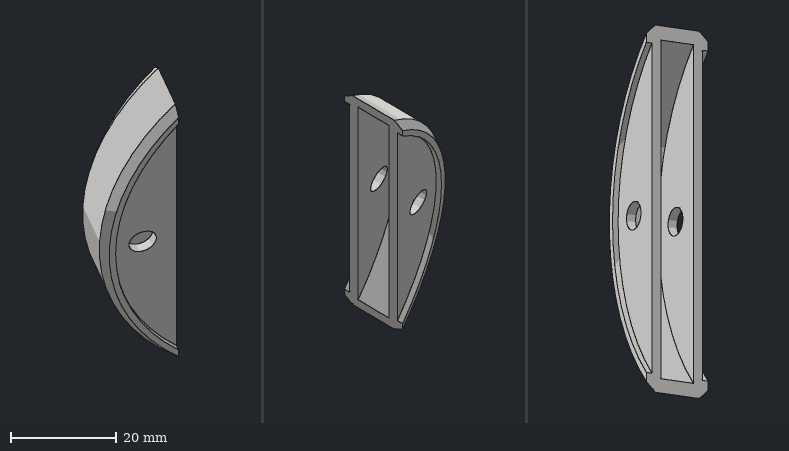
import cadquery as cq
import math

width = 13.6
chord_length = 72.0
outer_radius = 50.0

chamfer_axial = 1.95
chamfer_radial = 1.3

rim_thickness = 1.3
recess_depth = 1.2

wall_thickness = 2.0

hole_diameter = 5.5
hole_from_chord = 6.85

chord_y = -math.sqrt(outer_radius**2 - (chord_length / 2) ** 2)
side_radius = outer_radius - chamfer_radial
pocket_radius = side_radius - rim_thickness
half_width = width / 2


def disc(radius, x_start, x_end):
    """Solid disc about the X axis between two X positions."""
    return cq.Workplane("YZ", origin=(x_start, 0, 0)).circle(radius).extrude(x_end - x_start)


def chamfered_disc():
    """Full disc with a chamfer on each rim, revolved about the X axis."""
    profile = [
        (-half_width, 0),
        (-half_width, side_radius),
        (-half_width + chamfer_axial, outer_radius),
        (half_width - chamfer_axial, outer_radius),
        (half_width, side_radius),
        (half_width, 0),
    ]
    return cq.Workplane("XY").polyline(profile).close().revolve(360, (0, 0, 0), (1, 0, 0))


def segment_block():
    """Block that keeps only the part of the disc beyond the chord."""
    depth = outer_radius + chord_y
    return cq.Workplane("XY").box(width, depth, chord_length).translate((0, chord_y - depth / 2, 0))


web_face = half_width - recess_depth
core_half_width = web_face - wall_thickness
core_radius = outer_radius - wall_thickness

body = chamfered_disc().intersect(segment_block())
body = body.cut(disc(pocket_radius, -half_width, -web_face))
body = body.cut(disc(pocket_radius, web_face, half_width))
body = body.cut(disc(core_radius, -core_half_width, core_half_width))

hole = disc(hole_diameter / 2, -half_width, half_width).translate((0, chord_y - hole_from_chord, 0))
result = body.cut(hole)